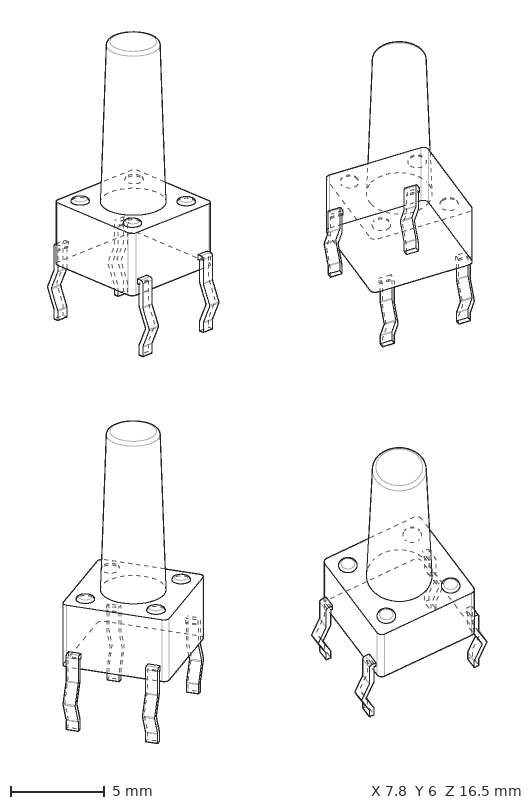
import cadquery as cq
import math

body_width = 6.0
body_bottom = 3.5
body_height = 3.65
body_corner_radius = 0.3
body_top = body_bottom + body_height

plunger_top = 16.51
plunger_base_radius = 1.75
plunger_top_radius = 1.44
plunger_edge_radius = 0.2

rivet_radius = 0.5
rivet_height = 0.15
rivet_edge_radius = 0.13
rivet_offset = 2.0

leg_thickness = 0.3
leg_width = 0.7
leg_offset_y = 2.25
leg_outer_x = 3.4
leg_tip_x = 3.9
leg_top = 4.42
leg_kink_z = 1.72
leg_slope = math.radians(23.8)
leg_bend_radius = 0.1
leg_shoulder_radius = 0.17
leg_embed = 0.17

leg_kink_x = leg_tip_x + leg_bend_radius * (1 / math.cos(leg_slope) - 1)
leg_kink_rise = (leg_kink_x - leg_outer_x) / math.tan(leg_slope)
leg_upper_bend_z = leg_kink_z + leg_kink_rise
leg_lower_bend_z = leg_kink_z - leg_kink_rise


def make_housing():
    """Square block with rounded vertical edges."""
    return (
        cq.Workplane("XY", origin=(0, 0, body_bottom))
        .rect(body_width, body_width)
        .extrude(body_height)
        .edges("|Z")
        .fillet(body_corner_radius)
    )


def make_plunger():
    """Cone frustum standing on the housing, with a rounded top rim."""
    return (
        cq.Workplane("XZ")
        .moveTo(0, body_top)
        .lineTo(plunger_base_radius, body_top)
        .lineTo(plunger_top_radius, plunger_top)
        .lineTo(0, plunger_top)
        .close()
        .revolve(360, (0, 0, 0), (0, 1, 0))
        .faces(">Z")
        .edges()
        .fillet(plunger_edge_radius)
    )


def make_rivets():
    """Low round heads at the four corners of the housing top."""
    return (
        cq.Workplane("XY", origin=(0, 0, body_top))
        .rect(2 * rivet_offset, 2 * rivet_offset, forConstruction=True)
        .vertices()
        .circle(rivet_radius)
        .extrude(rivet_height)
        .faces(">Z")
        .edges()
        .fillet(rivet_edge_radius)
    )


def round_edge(solid, x, y, z, radius):
    """Fillet the edge whose midpoint lies at the given point."""
    midpoint = cq.selectors.NearestToPointSelector((x, y, z))
    return solid.edges(midpoint).fillet(radius)


def make_leg(y_center):
    """Leg on the +X side: a short shoulder, then a strip kinked outward."""
    root_x = body_width / 2 - leg_embed
    inner_x = leg_outer_x - leg_thickness
    outer_bends = [
        (leg_outer_x, leg_upper_bend_z),
        (leg_kink_x, leg_kink_z),
        (leg_outer_x, leg_lower_bend_z),
    ]
    inner_bends = [(x - leg_thickness, z) for x, z in reversed(outer_bends)]
    foot = [(leg_outer_x, 0), (inner_x, 0)]
    shoulder_top = [(root_x, leg_top), (leg_outer_x, leg_top)]
    shoulder_underside = [
        (inner_x, leg_top - leg_thickness),
        (root_x, leg_top - leg_thickness),
    ]
    leg = (
        cq.Workplane("XZ", origin=(0, y_center, 0))
        .polyline(shoulder_top + outer_bends + foot + inner_bends + shoulder_underside)
        .close()
        .extrude(leg_width / 2, both=True)
    )
    leg = round_edge(leg, leg_outer_x, y_center, leg_top, leg_shoulder_radius)
    for x, z in outer_bends + inner_bends:
        leg = round_edge(leg, x, y_center, z, leg_bend_radius)
    return leg


result = make_housing().union(make_plunger()).union(make_rivets())
for y_center in (-leg_offset_y, leg_offset_y):
    leg = make_leg(y_center)
    result = result.union(leg).union(leg.mirror("YZ"))